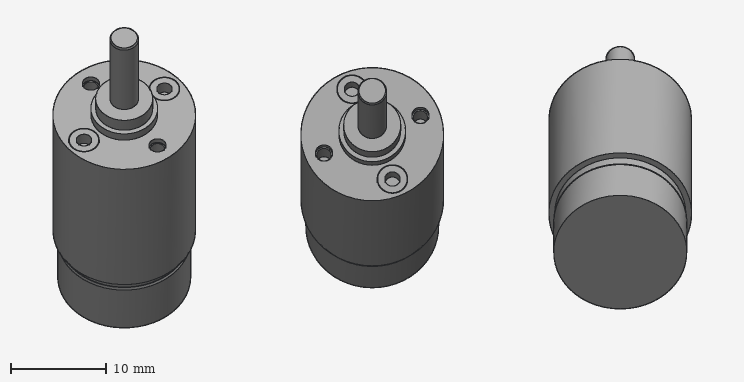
import cadquery as cq

total_height = 39.2
motor_height = 6.5
motor_chamfer = 0.3
neck_top = 7.72
body_top = 26.6
step_height = 1.0
boss_height = 1.6
step_top = body_top + step_height
boss_top = step_top + boss_height

motor_diameter = 14.0
neck_diameter = 13.8
motor_rim_diameter = 13.7
body_diameter = 15.0
step_diameter = 7.0
boss_diameter = 6.0
shaft_diameter = 3.0
shaft_tip_chamfer = 0.25
shaft_tip_inset = 0.1

hole_circle_radius = 5.5
threaded_hole_diameter = 1.5
threaded_hole_depth = 3.0
threaded_mouth_diameter = 1.8
threaded_mouth_depth = 0.6
screw_head_diameter = 3.1
screw_recess_diameter = 3.2
screw_recess_depth = 1.0
screw_socket_diameter = 1.6
screw_socket_depth = 1.5


def cylinder(diameter, bottom, top, x=0, y=0):
    """Upright cylinder between two heights."""
    base = cq.Workplane("XY", origin=(x, y, bottom))
    return base.circle(diameter / 2).extrude(top - bottom)


def turned_body():
    """Motor can, neck, gearbox body, stepped boss and shaft as one revolved profile."""
    profile = [
        (0, 0),
        (motor_diameter / 2, 0),
        (motor_diameter / 2, motor_height - motor_chamfer),
        (motor_rim_diameter / 2, motor_height),
        (neck_diameter / 2, motor_height),
        (neck_diameter / 2, neck_top),
        (body_diameter / 2, neck_top),
        (body_diameter / 2, body_top),
        (step_diameter / 2, body_top),
        (step_diameter / 2, step_top),
        (boss_diameter / 2, step_top),
        (boss_diameter / 2, boss_top),
        (shaft_diameter / 2, boss_top),
        (shaft_diameter / 2, total_height - shaft_tip_chamfer),
        (shaft_diameter / 2 - shaft_tip_inset, total_height),
        (0, total_height),
    ]
    return cq.Workplane("XZ").polyline(profile).close().revolve(360, (0, 0), (0, 1))


def threaded_hole(x):
    """Blind mounting hole with a wider mouth."""
    hole = cylinder(threaded_hole_diameter, body_top - threaded_hole_depth, body_top, x=x)
    mouth = cylinder(threaded_mouth_diameter, body_top - threaded_mouth_depth, body_top, x=x)
    return hole.union(mouth)


def screw_cut(y):
    """Thin clearance ring around a flush screw head, and the round socket in the head."""
    recess_floor = body_top - screw_recess_depth
    recess = cylinder(screw_recess_diameter, recess_floor, body_top, y=y)
    head = cylinder(screw_head_diameter, recess_floor, body_top, y=y)
    socket = cylinder(screw_socket_diameter, body_top - screw_socket_depth, body_top, y=y)
    return recess.cut(head).union(socket)


result = turned_body()
for side in (-1, 1):
    result = result.cut(threaded_hole(side * hole_circle_radius))
    result = result.cut(screw_cut(side * hole_circle_radius))